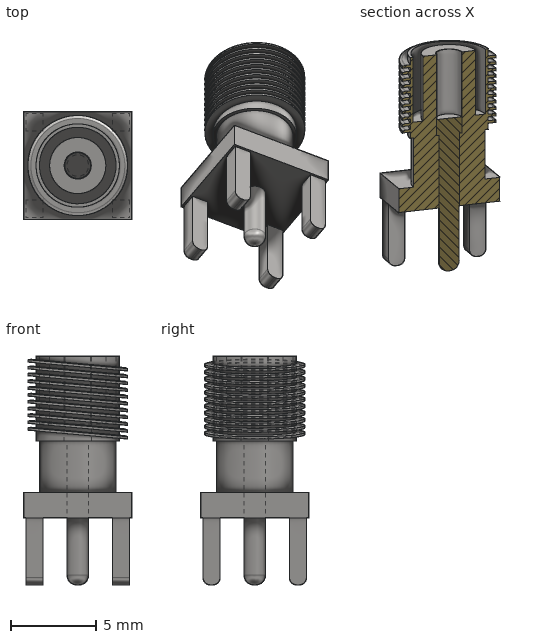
import cadquery as cq

leg_length = 3.95
base_height = 1.5
neck_length = 3.01
collar_length = 5.0

base_top = leg_length + base_height
neck_top = base_top + neck_length
top = neck_top + collar_length

base_side = 6.35
neck_diameter = 4.5
collar_diameter = 4.9
bore_diameter = 4.5
core_diameter = 3.3
bore_depth = 4.0

leg_width = 1.02
leg_pitch = 5.08
leg_tip_radius = 0.45

ring_diameter = 5.89
ring_thickness = 0.19
ring_count = 11
ring_pitch = 0.4
ring_tilt = 5.1
ring_chamfer_width = 0.17
ring_chamfer_height = 0.05
first_ring_drop = 0.525

socket_diameter = 1.52
socket_wall = 0.035
socket_depth = bore_depth
socket_floor = 1.0
sleeve_diameter = socket_diameter + 2 * socket_wall
sleeve_bottom = top - socket_depth - socket_floor
pin_diameter = 1.27
pin_tip_radius = 0.58


def cylinder(diameter, bottom, upper):
    """Upright cylinder on the Z axis between two levels."""
    return cq.Workplane("XY").workplane(offset=bottom).circle(diameter / 2).extrude(upper - bottom)


def make_leg(x, y):
    """Square leg whose tip is rounded about X."""
    leg = cq.Workplane("XY").box(leg_width, leg_width, leg_length, centered=(True, True, False))
    leg = leg.faces("<Z").edges("|X").fillet(leg_tip_radius)
    return leg.translate((x, y, 0))


def make_ring(level):
    """Tilted thread ridge, centred at a level, with its upper rim chamfered."""
    half = ring_thickness / 2
    outer = ring_diameter / 2
    inner = bore_diameter / 2
    section = [
        (inner, -half),
        (outer, -half),
        (outer, half - ring_chamfer_height),
        (outer - ring_chamfer_width, half),
        (inner, half),
    ]
    ring = cq.Workplane("XZ").polyline(section).close().revolve(360, (0, 0, 0), (0, 1, 0))
    return ring.rotate((0, 0, 0), (0, 1, 0), ring_tilt).translate((0, 0, level))


def make_contact_envelope():
    """Contact without its socket: the sleeve above, the pin below."""
    pin = cylinder(pin_diameter, 0, sleeve_bottom).faces("<Z").edges().fillet(pin_tip_radius)
    return pin.union(cylinder(sleeve_diameter, sleeve_bottom, top))


def make_housing():
    housing = (
        cq.Workplane("XY").workplane(offset=leg_length).rect(base_side, base_side).extrude(base_height)
    )
    housing = housing.union(cylinder(neck_diameter, base_top, neck_top))
    housing = housing.union(cylinder(collar_diameter, neck_top, top))
    for number in range(ring_count):
        housing = housing.union(make_ring(top - first_ring_drop - number * ring_pitch))
    for x in (-leg_pitch / 2, leg_pitch / 2):
        for y in (-leg_pitch / 2, leg_pitch / 2):
            housing = housing.union(make_leg(x, y))

    bore_floor = top - bore_depth
    bore = cylinder(bore_diameter, bore_floor, top).cut(cylinder(core_diameter, bore_floor, top))
    return housing.cut(bore).cut(make_contact_envelope())


def make_contact():
    return make_contact_envelope().cut(cylinder(socket_diameter, top - socket_depth, top))


housing = make_housing()
contact = make_contact()
result = cq.Compound.makeCompound([housing.val(), contact.val()])